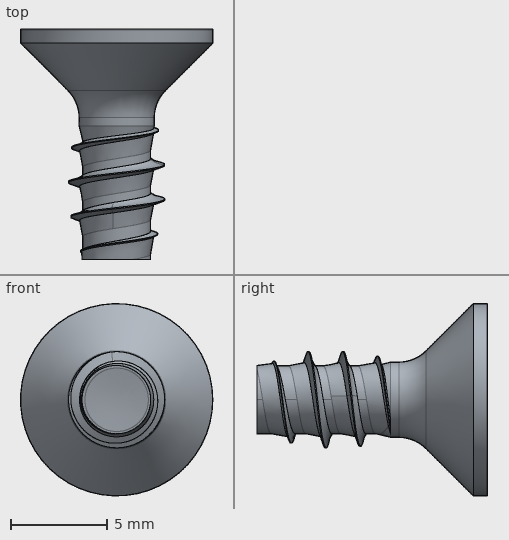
import cadquery as cq
import math

LENGTH = 12.0

HEAD_RADIUS = 5.0
RIM_DEPTH = 0.75
RIM_EDGE_RADIUS = 0.07
NECK_RADIUS = 1.96
NECK_FILLET = 2.0
HEAD_CONE_ANGLE = math.radians(45)

THREAD_START_DEPTH = 5.04
CORE_RADIUS = 1.77
CORE_TAPER_LENGTH = 0.77

DISH_RADIUS = 1.65
DISH_DEPTH = 0.1

PITCH = 1.8
CREST_RADIUS = 2.5
CREST_START_RADIUS = 2.15
FULL_CREST_START = 7.1
FULL_CREST_END = 9.35
REFERENCE_CREST_DEPTH = 5.27
MIN_HEIGHT_RATIO = 0.03
RUN_IN = 0.34

CREST_HALF_WIDTH = 0.03
SHOULDER_HEIGHT = 0.16
MAX_SHOULDER_RATIO = 0.5
SHOULDER_OFFSET = 0.22
LAND_END = 1.14
FLANK_MID_HEIGHT = 0.22
FLANK_MID_OFFSET = -0.18
FLANK_END = -0.34
BURIED_OVERLAP = 0.02
BURIED_DEPTH = 0.37

SECTIONS_PER_TURN = 20
FULL_HEIGHT = CREST_RADIUS - CORE_RADIUS


def make_body():
    """Head, neck and plain core, revolved about the Y axis."""
    tangent_radius = NECK_RADIUS + NECK_FILLET * (1 - math.cos(HEAD_CONE_ANGLE))
    tangent_depth = RIM_DEPTH + (HEAD_RADIUS - tangent_radius) / math.tan(HEAD_CONE_ANGLE)
    neck_depth = tangent_depth + NECK_FILLET * math.sin(HEAD_CONE_ANGLE)
    mid_angle = HEAD_CONE_ANGLE / 2
    fillet_mid = (
        NECK_RADIUS + NECK_FILLET * (1 - math.cos(mid_angle)),
        -neck_depth + NECK_FILLET * math.sin(mid_angle),
    )
    edge_mid = RIM_EDGE_RADIUS * (1 - math.sqrt(0.5))
    dish_sphere = (DISH_RADIUS**2 + DISH_DEPTH**2) / (2 * DISH_DEPTH)
    dish_mid_x = DISH_RADIUS / 2
    dish_mid_depth = LENGTH - DISH_DEPTH + dish_sphere - math.sqrt(dish_sphere**2 - dish_mid_x**2)

    profile = (
        cq.Workplane("XY")
        .moveTo(0, 0)
        .lineTo(HEAD_RADIUS - RIM_EDGE_RADIUS, 0)
        .threePointArc((HEAD_RADIUS - edge_mid, -edge_mid), (HEAD_RADIUS, -RIM_EDGE_RADIUS))
        .lineTo(HEAD_RADIUS, -RIM_DEPTH)
        .lineTo(tangent_radius, -tangent_depth)
        .threePointArc(fillet_mid, (NECK_RADIUS, -neck_depth))
        .lineTo(NECK_RADIUS, -THREAD_START_DEPTH)
        .lineTo(CORE_RADIUS, -THREAD_START_DEPTH - CORE_TAPER_LENGTH)
        .lineTo(CORE_RADIUS, -LENGTH)
        .lineTo(DISH_RADIUS, -LENGTH)
        .threePointArc((dish_mid_x, -dish_mid_depth), (0, -LENGTH + DISH_DEPTH))
        .close()
    )
    return profile.revolve(360, (0, 0, 0), (0, 1, 0))


def height_ratio(depth):
    """Thread height at a crest depth, as a fraction of the full height."""
    if depth < FULL_CREST_START:
        start_ratio = (CREST_START_RADIUS - CORE_RADIUS) / FULL_HEIGHT
        progress = (depth - THREAD_START_DEPTH) / (FULL_CREST_START - THREAD_START_DEPTH)
        ratio = start_ratio + (1 - start_ratio) * progress
    elif depth > FULL_CREST_END:
        ratio = (LENGTH - depth) / (LENGTH - FULL_CREST_END)
    else:
        ratio = 1.0
    return max(ratio, MIN_HEIGHT_RATIO)


def thread_section(depth):
    """Closed thread outline in the half-plane through the axis that holds this crest depth."""
    angle = 2 * math.pi * (depth - REFERENCE_CREST_DEPTH) / PITCH
    ratio = height_ratio(depth)
    height = FULL_HEIGHT * ratio
    shoulder_height = min(SHOULDER_HEIGHT, MAX_SHOULDER_RATIO * height)

    def point(offset, height_above_core):
        radius = CORE_RADIUS + height_above_core
        return cq.Vector(radius * math.cos(angle), -(depth + offset), radius * math.sin(angle))

    flank_foot = point(FLANK_END * ratio, -BURIED_OVERLAP)
    flank_mid = point(FLANK_MID_OFFSET * ratio, FLANK_MID_HEIGHT * ratio)
    crest_head_side = point(-CREST_HALF_WIDTH * ratio, height)
    crest_tip_side = point(CREST_HALF_WIDTH * ratio, height)
    shoulder = point(SHOULDER_OFFSET * ratio, shoulder_height)
    land_end = point(LAND_END, -BURIED_OVERLAP)
    buried_tip_side = point(LAND_END, -BURIED_DEPTH)
    buried_head_side = point(FLANK_END * ratio, -BURIED_DEPTH)

    straight_run = [
        crest_head_side,
        crest_tip_side,
        shoulder,
        land_end,
        buried_tip_side,
        buried_head_side,
        flank_foot,
    ]
    edges = [cq.Edge.makeThreePointArc(flank_foot, flank_mid, crest_head_side)]
    for start, end in zip(straight_run, straight_run[1:]):
        edges.append(cq.Edge.makeLine(start, end))
    return cq.Wire.assembleEdges(edges)


def make_ridge(first_depth, last_depth):
    """Smooth stretch of helical ridge between two crest depths."""
    steps = math.ceil((last_depth - first_depth) / PITCH * SECTIONS_PER_TURN)
    step = (last_depth - first_depth) / steps
    sections = [thread_section(first_depth + i * step) for i in range(steps + 1)]
    return cq.Workplane(cq.Solid.makeLoft(sections))


def add_thread(body):
    """Join the ramp, full-height and fading stretches of thread to the body and trim the ends."""
    stretch_ends = [
        THREAD_START_DEPTH - RUN_IN,
        FULL_CREST_START,
        FULL_CREST_END,
        LENGTH - FLANK_END,
    ]
    threaded_length = (
        cq.Workplane("XZ", origin=(0, -THREAD_START_DEPTH, 0))
        .circle(HEAD_RADIUS)
        .circle(DISH_RADIUS)
        .extrude(LENGTH - THREAD_START_DEPTH)
    )
    for first_depth, last_depth in zip(stretch_ends, stretch_ends[1:]):
        ridge = make_ridge(first_depth, last_depth)
        body = body.union(ridge.intersect(threaded_length))
    return body


result = add_thread(make_body())